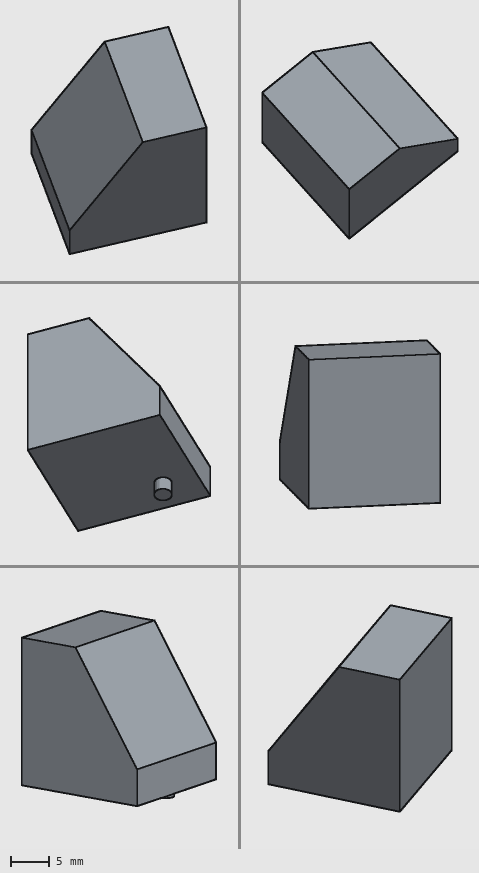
import cadquery as cq

total_height = 22.0

width = 17.6
depth = 18.72
body_height = 20.0
front_height = 5.0
slope_run = 10.0

pin_diameter = 2.33
pin_length = total_height - body_height
pin_from_left = 12.85
pin_from_front = 4.77


def make_block():
    """Side profile in the YZ plane, extruded across the width."""
    profile = [
        (0, 0),
        (depth, 0),
        (depth, body_height),
        (slope_run, body_height),
        (0, front_height),
    ]
    return cq.Workplane("YZ").polyline(profile).close().extrude(width)


def make_pin():
    """Pin hanging down from the underside of the block."""
    return (
        cq.Workplane("XY")
        .center(pin_from_left, pin_from_front)
        .circle(pin_diameter / 2)
        .extrude(-pin_length)
    )


result = make_block().union(make_pin())